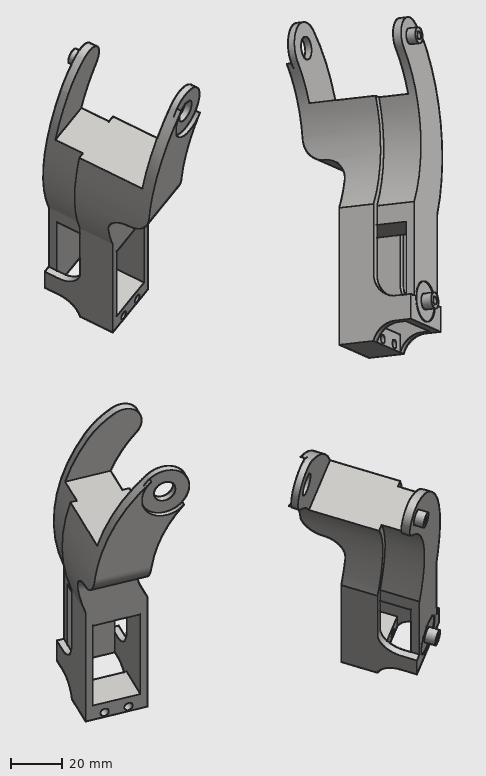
import math

import cadquery as cq


column_half_width = 13.0
eye_y = 13.7
eye_z = 120.5
eye_radius = 10.32
profile_top_z = eye_z + eye_radius
front_bend_radius = 67.5
front_bend_z = 77.6
front_apex_y = -17.0
rear_bend_radius = 49.2
rear_apex_y = 6.9
profile_inset = 2.7
column_inset = 3.0
pin_plate_blend_z = 117.7

pin_plate_thickness = 3.6
step_x = 16.35
column_x = 31.5
fork_inner_x = 45.5
fork_pad_thickness = 2.9
fork_outer_x = 50.45

plate_bottom_z = 7.2
foot_height = 10.0
foot_top_z = plate_bottom_z + foot_height
cavity_top_z = 47.2
body_top_z = 98.9

foot_radius = 10.0
overhang_width = fork_outer_x - column_x
overhang_radius = overhang_width / 2
overhang_mid_z = 76.5
pin_diameter = 6.4
pin_length = 4.0
pin_hole_diameter = 3.2
lower_pin_z = 16.8
pin_recess_diameter = 16.0
pin_recess_depth = 0.4
fork_hole_diameter = 9.0
cross_hole_diameter = 3.5
cross_hole_spacing = 10.0
cross_hole_z = 2.4


def arm_profile(half_width, inset, blend_z, x_start, x_end):
    """Solid with the bent arm outline, moved inwards by inset, between two X positions.

    The front bend ends at height blend_z, where a tighter arc takes over and blends into the eye.
    """
    rear_radius = rear_bend_radius + inset
    eye = eye_radius - inset

    front_y = front_apex_y + inset + front_bend_radius

    rear_y = rear_apex_y + rear_bend_radius
    rear_distance = rear_radius + eye
    rear_z = eye_z - math.sqrt(rear_distance**2 - (rear_y - eye_y) ** 2)

    blend_cos = math.sqrt(front_bend_radius**2 - (blend_z - front_bend_z) ** 2) / front_bend_radius
    blend_sin = (blend_z - front_bend_z) / front_bend_radius
    blend_y = front_y - front_bend_radius * blend_cos
    offset_y = blend_y - eye_y
    offset_z = blend_z - eye_z
    offset_along_radius = offset_y * blend_cos - offset_z * blend_sin
    blend_radius = (eye**2 - offset_y**2 - offset_z**2) / (2 * (offset_along_radius + eye))
    blend_centre_y = blend_y + blend_radius * blend_cos
    blend_centre_z = blend_z - blend_radius * blend_sin
    blend_distance = blend_radius - eye

    front_knee_z = front_bend_z - math.sqrt(front_bend_radius**2 - (front_y + half_width) ** 2)
    rear_knee_z = rear_z - math.sqrt(rear_radius**2 - (rear_y - half_width) ** 2)
    front_tangent = (
        eye_y + (eye_y - blend_centre_y) * eye / blend_distance,
        eye_z + (eye_z - blend_centre_z) * eye / blend_distance,
    )
    rear_tangent = (
        eye_y + (rear_y - eye_y) * eye / rear_distance,
        eye_z + (rear_z - eye_z) * eye / rear_distance,
    )
    eye_far_point = (eye_y + eye * math.cos(math.pi / 4), eye_z + eye * math.sin(math.pi / 4))

    return (
        cq.Workplane("YZ", origin=(x_start, 0, 0))
        .moveTo(half_width, 0)
        .lineTo(-half_width, 0)
        .lineTo(-half_width, front_knee_z)
        .threePointArc((front_y - front_bend_radius, front_bend_z), (blend_y, blend_z))
        .radiusArc(front_tangent, blend_radius)
        .threePointArc(eye_far_point, rear_tangent)
        .threePointArc((rear_y - rear_radius, rear_z), (half_width, rear_knee_z))
        .close()
        .extrude(x_end - x_start)
    )


def block(x_range, z_range, half_width):
    """Box between two X and two Z positions, centred on Y."""
    x_start, x_end = x_range
    z_start, z_end = z_range
    return (
        cq.Workplane("XY", origin=(x_start, 0, z_start))
        .box(x_end - x_start, 2 * half_width, z_end - z_start, centered=(False, True, False))
    )


def x_cylinder(diameter, x_start, length, y, z):
    """Cylinder along X."""
    return cq.Workplane("YZ", origin=(x_start, y, z)).circle(diameter / 2).extrude(length)


def wide_body():
    """Full-width part of the arm, with an S-curve from the column out to the fork plate."""
    silhouette = (
        cq.Workplane("XZ")
        .moveTo(step_x, 0)
        .lineTo(column_x, 0)
        .lineTo(column_x, overhang_mid_z - overhang_radius)
        .radiusArc((column_x + overhang_radius, overhang_mid_z), overhang_radius)
        .radiusArc((fork_outer_x, overhang_mid_z + overhang_radius), -overhang_radius)
        .lineTo(fork_outer_x, profile_top_z)
        .lineTo(fork_inner_x, profile_top_z)
        .lineTo(fork_inner_x, body_top_z)
        .lineTo(step_x, body_top_z)
        .close()
        .extrude(profile_top_z, both=True)
    )
    return arm_profile(column_half_width, 0, body_top_z, step_x, fork_outer_x).intersect(silhouette)


def narrow_body():
    """Pin plate with the narrower stretch of the arm beside it."""
    half_width = column_half_width - column_inset
    body = arm_profile(half_width, profile_inset, pin_plate_blend_z, 0, step_x)
    above = block((pin_plate_thickness, step_x), (body_top_z, profile_top_z), 2 * column_half_width)
    below = block((0, step_x), (0, plate_bottom_z), column_half_width)
    return body.cut(above).cut(below)


def foot():
    """Full-width foot that flares into the column with round corners above and below."""
    return (
        cq.Workplane("XZ")
        .moveTo(0, plate_bottom_z)
        .lineTo(0, foot_top_z)
        .lineTo(step_x - foot_radius, foot_top_z)
        .radiusArc((step_x, foot_top_z + foot_radius), -foot_radius)
        .lineTo(step_x, 0)
        .radiusArc((step_x - foot_radius, plate_bottom_z), -foot_radius)
        .close()
        .extrude(column_half_width, both=True)
    )


def cavity():
    """Hollow behind the pin plate, open towards +X and, on the -X side of the floor bar, downwards."""
    half_width = column_half_width - column_inset
    upper = block((pin_plate_thickness, column_x), (plate_bottom_z, cavity_top_z), half_width)
    lower = block((0, step_x), (0, plate_bottom_z), half_width)
    return upper.union(lower)


def add_pin(body, y, z):
    """Hollow pin standing out of the pin plate."""
    pin = x_cylinder(pin_diameter, -pin_length, pin_length + pin_plate_thickness / 2, y, z)
    bore = x_cylinder(pin_hole_diameter, -pin_length, pin_length, y, z)
    return body.union(pin).cut(bore)


body = wide_body().union(narrow_body()).union(foot()).cut(cavity())

body = body.cut(x_cylinder(pin_recess_diameter, 0, pin_recess_depth, 0, lower_pin_z))
body = add_pin(body, 0, lower_pin_z)
body = add_pin(body, eye_y, eye_z)

pad_outer_x = fork_inner_x + fork_pad_thickness
body = body.cut(x_cylinder(2 * eye_radius, pad_outer_x, fork_outer_x - pad_outer_x, eye_y, eye_z))
body = body.cut(x_cylinder(fork_hole_diameter, fork_inner_x, fork_pad_thickness, eye_y, eye_z))

for side in (-1, 1):
    hole_y = side * cross_hole_spacing / 2
    body = body.cut(x_cylinder(cross_hole_diameter, step_x, column_x - step_x, hole_y, cross_hole_z))

result = body